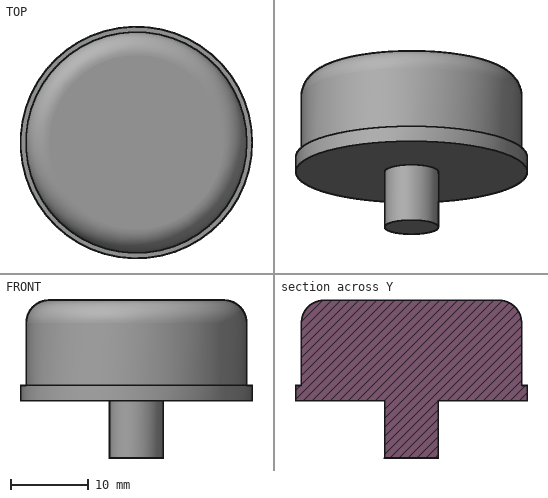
import cadquery as cq

total_height = 20.45
flange_diameter = 30.0
flange_thickness = 2.0
cap_diameter = 28.6
cap_edge_radius = 3.0
stem_diameter = 7.0
stem_length = 7.4
cap_height = total_height - stem_length - flange_thickness

flange = cq.Workplane("XY").circle(flange_diameter / 2).extrude(flange_thickness)

cap = (
    cq.Workplane("XY")
    .workplane(offset=flange_thickness)
    .circle(cap_diameter / 2)
    .extrude(cap_height)
    .faces(">Z")
    .edges()
    .fillet(cap_edge_radius)
)

stem = cq.Workplane("XY").circle(stem_diameter / 2).extrude(-stem_length)

result = flange.union(cap).union(stem)